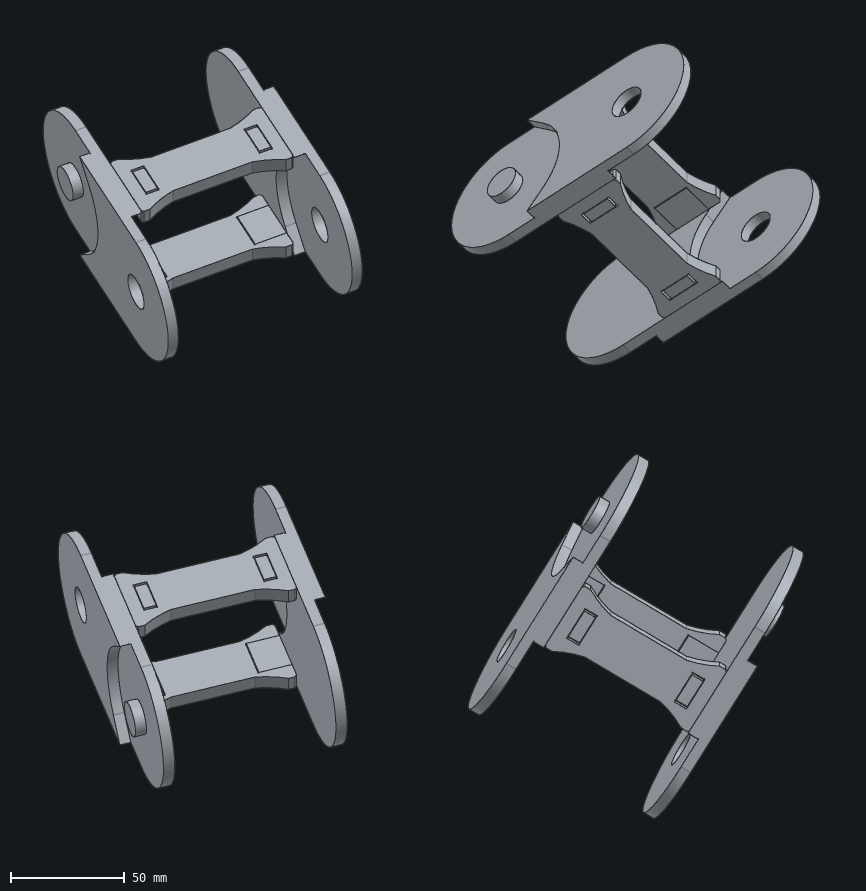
import cadquery as cq
import math


link_length = 135.9
link_width = 95.0
link_height = 65.0

outer_leaf_thickness = 5.0
inner_leaf_thickness = 5.3
square_corner_x = 20.9
mating_clearance = 0.4
pin_diameter = 16.0
hole_diameter = 16.3

bar_thickness = 7.3
bar_center_x = 4.1
bar_end_width = 32.7
bar_waist_width = 22.2
bar_end_length = 4.0
bar_waist_half_length = 19.5
flare_bulge = 0.5
bar_corner_chamfer = 1.0

tongue_length = 15.4
tongue_width = 18.1
tongue_thickness = 3.7
tongue_end_gap = 0.4
peg_length = 13.5
peg_width = 5.7
peg_center_y = 27.7
peg_gap_x = 1.1
peg_gap_y = 0.3

end_radius = link_height / 2
joint_x = link_length / 2 - end_radius
leaf_joint_y = link_width / 2 - outer_leaf_thickness
plate_inner_y = leaf_joint_y - inner_leaf_thickness
bar_inner_z = link_height / 2 - bar_thickness
peg_base_z = bar_inner_z + tongue_thickness


def box(x_center, x_size, y_min, y_max, z_min, z_max):
    """Block centred on x_center, between the given Y and Z limits."""
    return (
        cq.Workplane("XY")
        .box(x_size, y_max - y_min, z_max - z_min, centered=(True, False, False))
        .translate((x_center, y_min, z_min))
    )


def make_leaf(thickness, y_min):
    """Flat leaf with a round end at +X and a hollow end that clears the next link at -X."""
    hollow_radius = end_radius + mating_clearance
    corner_offset = joint_x - square_corner_x
    corner_distance = math.hypot(corner_offset, end_radius)
    tangent_angle = math.atan2(end_radius, corner_offset) - math.acos(hollow_radius / corner_distance)
    tangent_x = hollow_radius * math.cos(tangent_angle) - joint_x
    tangent_z = hollow_radius * math.sin(tangent_angle)
    return (
        cq.Workplane("XZ", origin=(0, y_min, 0))
        .moveTo(-square_corner_x, end_radius)
        .lineTo(joint_x, end_radius)
        .threePointArc((link_length / 2, 0), (joint_x, -end_radius))
        .lineTo(-square_corner_x, -end_radius)
        .lineTo(tangent_x, -tangent_z)
        .threePointArc((hollow_radius - joint_x, 0), (tangent_x, tangent_z))
        .close()
        .extrude(-thickness)
    )


def cylinder_across(diameter, x_center):
    """Cylinder along Y through the thickness of the outer leaf."""
    return (
        cq.Workplane("XZ", origin=(x_center, leaf_joint_y, 0))
        .circle(diameter / 2)
        .extrude(-outer_leaf_thickness)
    )


def make_tongue():
    """Tongue at the top of the +Y side plate, with the peg that locks the cross bar."""
    tongue = box(
        bar_center_x, tongue_width,
        plate_inner_y - tongue_length, plate_inner_y,
        bar_inner_z, peg_base_z,
    )
    peg = box(
        bar_center_x, peg_length,
        peg_center_y - peg_width / 2, peg_center_y + peg_width / 2,
        peg_base_z, link_height / 2,
    )
    return tongue.union(peg)


def make_side_plate():
    """Side plate at +Y: overlapping outer and inner leaves, pivot pin, hole and two tongues."""
    outer_leaf = make_leaf(outer_leaf_thickness, leaf_joint_y)
    outer_leaf = outer_leaf.cut(cylinder_across(hole_diameter, joint_x))
    inner_leaf = make_leaf(inner_leaf_thickness, plate_inner_y).mirror("YZ")
    pin = cylinder_across(pin_diameter, -joint_x)
    tongue = make_tongue()
    return outer_leaf.union(inner_leaf).union(pin).union(tongue).union(tongue.mirror("XY"))


def make_bar_blank():
    """Top bar without its recesses: wide chamfered ends flaring from a narrow waist."""
    end_x = bar_end_width / 2
    waist_x = bar_waist_width / 2
    flare_y = plate_inner_y - bar_end_length
    waist_y = bar_waist_half_length
    chord_x = end_x - waist_x
    chord_y = flare_y - waist_y
    chord = math.hypot(chord_x, chord_y)
    bow_x = (end_x + waist_x) / 2 - flare_bulge * chord_y / chord
    bow_y = (flare_y + waist_y) / 2 + flare_bulge * chord_x / chord
    return (
        cq.Workplane("XY", origin=(bar_center_x, 0, bar_inner_z))
        .moveTo(end_x, plate_inner_y)
        .lineTo(end_x, flare_y)
        .threePointArc((bow_x, bow_y), (waist_x, waist_y))
        .lineTo(waist_x, -waist_y)
        .threePointArc((bow_x, -bow_y), (end_x, -flare_y))
        .lineTo(end_x, -plate_inner_y)
        .lineTo(-end_x, -plate_inner_y)
        .lineTo(-end_x, -flare_y)
        .threePointArc((-bow_x, -bow_y), (-waist_x, -waist_y))
        .lineTo(-waist_x, waist_y)
        .threePointArc((-bow_x, bow_y), (-end_x, flare_y))
        .lineTo(-end_x, plate_inner_y)
        .close()
        .extrude(bar_thickness)
        .edges("(>Y or <Y) and |Z")
        .chamfer(bar_corner_chamfer)
    )


def make_bar_recess():
    """Space taken from the top bar at its +Y end by a tongue and its peg, with their gaps."""
    tongue_recess = box(
        bar_center_x, tongue_width,
        plate_inner_y - tongue_length - tongue_end_gap, plate_inner_y,
        bar_inner_z, peg_base_z,
    )
    peg_window = box(
        bar_center_x, peg_length + 2 * peg_gap_x,
        peg_center_y - peg_width / 2 - peg_gap_y, peg_center_y + peg_width / 2 + peg_gap_y,
        peg_base_z, link_height / 2,
    )
    return tongue_recess.union(peg_window)


def make_cross_bar():
    """Top cross bar with a tongue recess and a peg window at each end."""
    recess = make_bar_recess()
    return make_bar_blank().cut(recess).cut(recess.mirror("XZ"))


side_plate = make_side_plate()
side_plates = [side_plate, side_plate.mirror("XZ")]

cross_bar = make_cross_bar()
cross_bars = [cross_bar, cross_bar.mirror("XY")]

result = cq.Compound.makeCompound([body.solids().val() for body in side_plates + cross_bars])